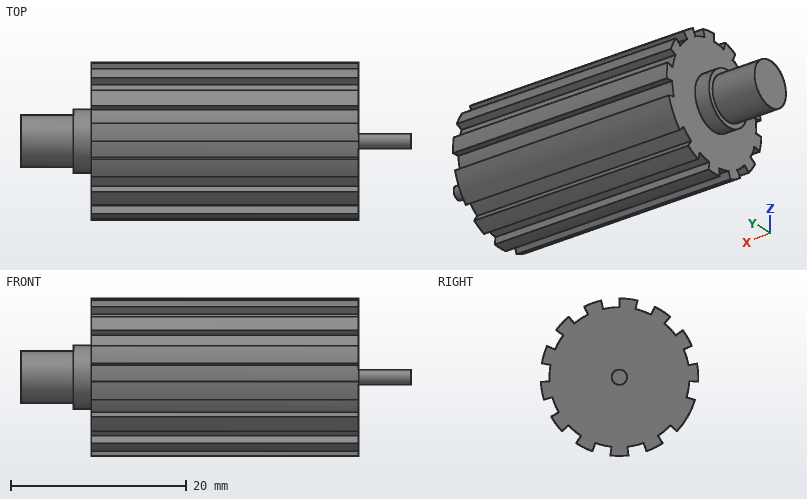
import cadquery as cq
import math

drum_length = 30.5
drum_radius = 9.0
groove_floor_radius = 8.0

sector_count = 27
sector_angle = 360 / sector_count
groove_count = sector_count // 2
groove_pitch = 2 * sector_angle
grooves_below_top = 4
first_groove_angle = 90 - grooves_below_top * groove_pitch

collar_diameter = 7.3
collar_length = 2.0
journal_diameter = 6.0
journal_length = 6.0

pin_diameter = 1.75
pin_projection = 6.0
pin_depth = 6.0


def cylinder_along_x(start_x, length, diameter):
    return cq.Workplane("YZ", origin=(start_x, 0, 0)).circle(diameter / 2).extrude(length)


def rim_point(radius, angle):
    """Point in the YZ plane, with the angle in degrees from +Y towards +Z."""
    return (
        radius * math.cos(math.radians(angle)),
        radius * math.sin(math.radians(angle)),
    )


def make_drum_blank():
    """Extrude the toothed outline: radial walls joined by concentric arcs."""
    outline = cq.Workplane("YZ").moveTo(*rim_point(groove_floor_radius, first_groove_angle))
    for index in range(groove_count):
        groove_start = first_groove_angle + index * groove_pitch
        groove_middle = groove_start + sector_angle / 2
        groove_end = groove_start + sector_angle
        is_last = index == groove_count - 1
        tooth_end = first_groove_angle + 360 if is_last else groove_start + groove_pitch
        tooth_middle = (groove_end + tooth_end) / 2
        outline = (
            outline.threePointArc(
                rim_point(groove_floor_radius, groove_middle),
                rim_point(groove_floor_radius, groove_end),
            )
            .lineTo(*rim_point(drum_radius, groove_end))
            .threePointArc(
                rim_point(drum_radius, tooth_middle),
                rim_point(drum_radius, tooth_end),
            )
        )
        if not is_last:
            outline = outline.lineTo(*rim_point(groove_floor_radius, tooth_end))
    return outline.close().extrude(drum_length)


def make_pin():
    return cylinder_along_x(drum_length - pin_depth, pin_depth + pin_projection, pin_diameter)


def make_drum():
    """Toothed drum with its collar and journal, bored to take the pin."""
    collar = cylinder_along_x(-collar_length, collar_length, collar_diameter)
    journal = cylinder_along_x(-collar_length - journal_length, journal_length, journal_diameter)
    pin_hole = cylinder_along_x(drum_length - pin_depth, pin_depth, pin_diameter)
    return make_drum_blank().union(collar).union(journal).cut(pin_hole)


drum = make_drum().solids()
pin = make_pin()

result = cq.Compound.makeCompound([drum.val(), pin.val()])